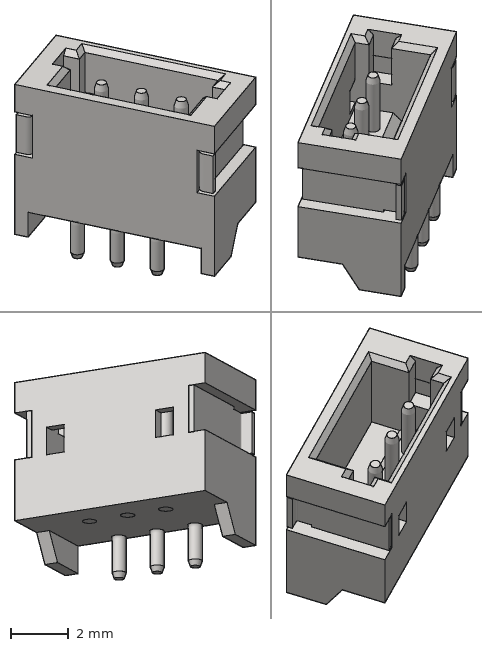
import cadquery as cq
import math


length = 7.5
width = 3.7
height = 6.0
half_length = length / 2
base_z = 1.0
leg_thickness = 0.5
leg_foot_width = 1.5
leg_root_width = 2.1

cavity_half_length = 2.5
front_wall = 0.6
back_wall = 0.4
rim_chamfer = 0.2
rear_floor_z = height - 3.0
floor_step = 0.3
rear_floor_y = width - 1.755
cavity_back_y = width - back_wall
cavity_depth_y = cavity_back_y - front_wall
cavity_mid_y = (front_wall + cavity_back_y) / 2
front_floor_z = rear_floor_z - floor_step

end_wall = 0.66
notch_half_length = half_length - end_wall
notch_width = 0.8
notch_floor_z = height - 1.8

slot_top_z = height - 1.1
slot_bottom_z = height - 2.8
slot_mid_z = (slot_top_z + slot_bottom_z) / 2
window_inner_x = 1.8

pin_count = 3
pin_pitch = 1.5
pin_radius = 0.25
tip_radius = 0.17
tail_tip_length = 0.2
post_tip_length = 0.25
post_y = width - 1.3
post_top_z = height - 0.7
tail_y = pin_radius
tail_end_z = -0.5
bend_start_z = base_z - 0.135
bend_radius = 0.5
arm_z = bend_start_z + bend_radius

sheet = 0.2
bend_inner_radius = 0.05
bend_outer_radius = bend_inner_radius + sheet
clip_end_gap = 0.04
clip_tip_gap = 0.05
flange_height = 1.5
shoulder_y = 0.75


def block(x0, x1, y0, y1, z0, z1):
    """Box between two opposite corners."""
    return cq.Workplane("XY").box(x1 - x0, y1 - y0, z1 - z0, centered=False).translate((x0, y0, z0))


def tapered_opening(half_x, size_y, mid_y, floor_z):
    """Rectangular opening from floor_z to the top, with a 45 degree chamfer all round its rim."""
    straight = block(-half_x, half_x, mid_y - size_y / 2, mid_y + size_y / 2, floor_z, height)
    rim = (
        cq.Workplane("XY", origin=(0, mid_y, height))
        .rect(2 * (half_x + rim_chamfer), size_y + 2 * rim_chamfer)
        .workplane(offset=-rim_chamfer)
        .rect(2 * half_x, size_y)
        .loft(combine=True)
    )
    return straight.union(rim)


def make_shell():
    """Outer body: the side profile with its sloped legs, opened between the legs."""
    shell = (
        cq.Workplane("YZ", origin=(-half_length, 0, 0))
        .polyline([
            (0, 0),
            (leg_foot_width, 0),
            (leg_root_width, base_z),
            (width, base_z),
            (width, height),
            (0, height),
        ])
        .close()
        .extrude(length)
    )
    leg_inner_x = half_length - leg_thickness
    return shell.cut(block(-leg_inner_x, leg_inner_x, 0, width, 0, base_z))


def make_cavity():
    """Cavity with its chamfered rim, less the raised rear floor that slopes down to the front."""
    cavity = tapered_opening(cavity_half_length, cavity_depth_y, cavity_mid_y, front_floor_z)
    raised_floor = (
        cq.Workplane("YZ", origin=(-cavity_half_length, 0, 0))
        .polyline([
            (rear_floor_y - floor_step, front_floor_z),
            (cavity_back_y, front_floor_z),
            (cavity_back_y, rear_floor_z),
            (rear_floor_y, rear_floor_z),
        ])
        .close()
        .extrude(2 * cavity_half_length)
    )
    return cavity.cut(raised_floor)


def make_notches():
    """Notches in both cavity ends: front and back rims are chamfered, the end walls are plain."""
    profile_half = notch_width / 2
    return (
        cq.Workplane("YZ", origin=(-notch_half_length, post_y, 0))
        .polyline([
            (-profile_half, notch_floor_z),
            (profile_half, notch_floor_z),
            (profile_half, height - rim_chamfer),
            (profile_half + rim_chamfer, height),
            (-profile_half - rim_chamfer, height),
            (-profile_half, height - rim_chamfer),
        ])
        .close()
        .extrude(2 * notch_half_length)
    )


def make_left_slot():
    """Slot that runs along the whole -X end and holds the clip."""
    return block(-half_length, -notch_half_length, 0, width, slot_bottom_z, slot_top_z)


def make_left_window():
    """Window through the back wall beside the -X end of the cavity."""
    return block(-cavity_half_length, -window_inner_x, cavity_back_y, width, slot_bottom_z, notch_floor_z)


def make_post():
    """Straight contact post with a tapered tip, from the underside of the body upwards."""
    return (
        cq.Workplane("XZ")
        .polyline([
            (0, base_z),
            (pin_radius, base_z),
            (pin_radius, post_top_z - post_tip_length),
            (tip_radius, post_top_z),
            (0, post_top_z),
        ])
        .close()
        .revolve(360, (0, 0, 0), (0, 1, 0))
        .translate((0, post_y, 0))
    )


def make_tail():
    """Solder tail: tapered end, straight shank, and a bend to an arm that reaches the post."""
    tip = (
        cq.Workplane("XY", origin=(0, tail_y, tail_end_z))
        .circle(tip_radius)
        .workplane(offset=tail_tip_length)
        .circle(pin_radius)
        .loft(combine=True)
    )
    shank_start_z = tail_end_z + tail_tip_length
    bend_centre_y = tail_y + bend_radius
    bend_mid_offset = bend_radius * math.sqrt(0.5)
    axis = (
        cq.Workplane("YZ")
        .moveTo(tail_y, shank_start_z)
        .lineTo(tail_y, bend_start_z)
        .threePointArc(
            (bend_centre_y - bend_mid_offset, bend_start_z + bend_mid_offset),
            (bend_centre_y, arm_z),
        )
        .lineTo(post_y - pin_radius, arm_z)
    )
    shank = cq.Workplane("XY", origin=(0, tail_y, shank_start_z)).circle(pin_radius).sweep(axis)
    return tip.union(shank)


def make_left_clip():
    """Metal strip along the -X slot, narrowed at the front and bent outwards into a flange."""
    inner_x = -half_length + end_wall
    outer_x = inner_x - sheet
    flange_tip_x = -half_length + clip_tip_gap
    bend_x = inner_x - bend_outer_radius
    bend_y = bend_outer_radius
    diagonal = math.sqrt(0.5)
    strip = block(outer_x, inner_x, shoulder_y, width - clip_end_gap, slot_bottom_z, slot_top_z)
    flange = (
        cq.Workplane("XY", origin=(0, 0, slot_mid_z - flange_height / 2))
        .moveTo(inner_x, shoulder_y)
        .lineTo(inner_x, bend_y)
        .threePointArc(
            (bend_x + bend_outer_radius * diagonal, bend_y - bend_outer_radius * diagonal),
            (bend_x, 0),
        )
        .lineTo(flange_tip_x, 0)
        .lineTo(flange_tip_x, sheet)
        .lineTo(bend_x, sheet)
        .threePointArc(
            (bend_x + bend_inner_radius * diagonal, bend_y - bend_inner_radius * diagonal),
            (outer_x, bend_y),
        )
        .lineTo(outer_x, shoulder_y)
        .close()
        .extrude(flange_height)
    )
    return strip.union(flange)


pin_xs = [(i - (pin_count - 1) / 2) * pin_pitch for i in range(pin_count)]
posts = [make_post().translate((x, 0, 0)) for x in pin_xs]
tails = [make_tail().translate((x, 0, 0)) for x in pin_xs]

left_clip = make_left_clip()
clips = [left_clip, left_clip.mirror("YZ")]

housing = make_shell().cut(make_cavity()).cut(make_notches())
for opening in (make_left_slot(), make_left_window()):
    housing = housing.cut(opening).cut(opening.mirror("YZ"))
for pin in posts + tails:
    housing = housing.cut(pin)

result = cq.Compound.makeCompound(
    [housing.val()] + [body.val() for body in posts + tails + clips]
)